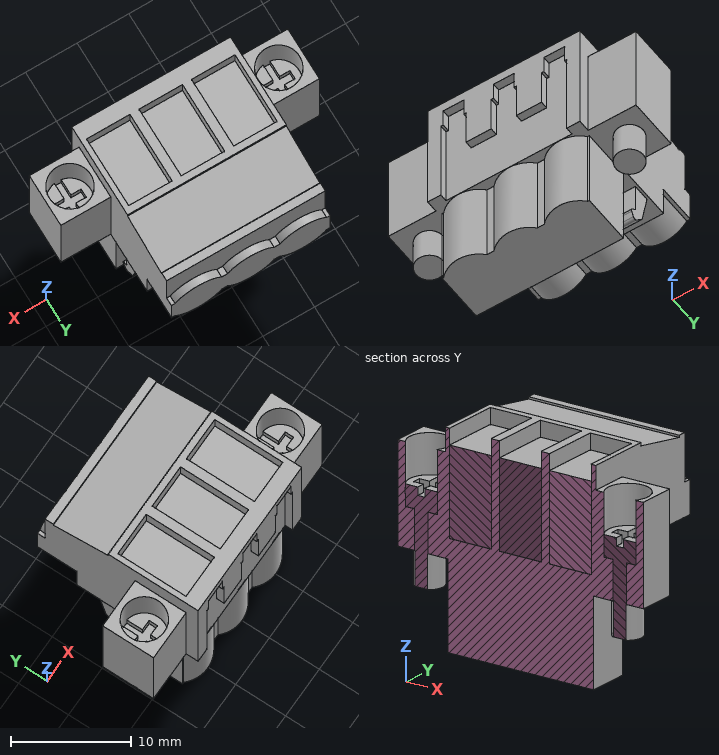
import cadquery as cq


pole_count = 3
pole_pitch = 5.08
pole_positions = [(i - (pole_count - 1) / 2) * pole_pitch for i in range(pole_count)]

overall_width = 25.05
housing_width = 15.37
housing_bottom = 8.35
housing_top = 20.05
lower_back_y = 12.17
upper_back_y = 15.32
top_step_y = 9.01
slope_top_z = 19.75
slope_bottom_z = 18.78
lip_front_y = 14.5
lip_top_z = 18.98

inlet_back_y = 16.1
inlet_z = 13.0
inlet_radius = 2.75
band_half_height = 1.58

mount_y = 3.75
plug_width = 14.87
plug_shoulder_y = 1.73
plug_back_y = 6.7
contact_radius = 2.98

hook_front_y = 8.45
hook_back_y = 10.15
hook_front_bend_z = 5.38
hook_back_bend_y = 9.42
hook_back_bend_z = 5.05
hook_nose_y = 7.79
hook_nose_z = 4.8
hook_tip_y = 8.35
hook_tip_z = 3.9
hook_rounding = 0.25

recess_depth = 0.75
recess_tooth_bottom = 13.42
window_width = pole_pitch / 2
window_shoulder_z = 17.2
window_neck_width = 2.08
window_top = 19.0

well_width = 4.2
well_front_y = 1.55
well_back_y = 8.36
well_depth = 1.5
clamp_top = housing_top - well_depth
clamp_bottom = inlet_z - inlet_radius

flange_width = (overall_width - housing_width) / 2
flange_length = 5.1
flange_top = 17.85
flange_x = (housing_width + flange_width) / 2

screw_head_diameter = 4.0
screw_head_height = 2.0
screw_head_sink = 3.75
screw_head_top = flange_top - screw_head_sink
head_seat = screw_head_top - screw_head_height
screw_shank_diameter = 2.73
screw_bottom = 5.15
long_slot_width = 0.65
short_slot_width = 0.83
short_slot_length = 2.65
slot_depth = 0.75


def box_between(x_center, width, y_front, y_back, z_bottom, z_top):
    """Box centred on x_center, given by its limits in Y and Z."""
    return (
        cq.Workplane("XY", origin=(x_center, (y_front + y_back) / 2, z_bottom))
        .rect(width, y_back - y_front)
        .extrude(z_top - z_bottom)
    )


def extrude_across(profile, width):
    """Closed (y, z) outline extruded symmetrically along X."""
    return cq.Workplane("YZ").polyline(profile).close().extrude(width / 2, both=True)


def upright_cylinder(x, diameter, z_bottom, z_top):
    """Vertical cylinder on a screw axis."""
    return (
        cq.Workplane("XY", origin=(x, mount_y, z_bottom))
        .circle(diameter / 2)
        .extrude(z_top - z_bottom)
    )


def make_main_block():
    profile = [
        (0, housing_bottom),
        (lower_back_y, housing_bottom),
        (lower_back_y, inlet_z - band_half_height),
        (inlet_back_y, inlet_z - band_half_height),
        (inlet_back_y, inlet_z + band_half_height),
        (upper_back_y, inlet_z + band_half_height),
        (upper_back_y, lip_top_z),
        (lip_front_y, lip_top_z),
        (lip_front_y, slope_bottom_z),
        (top_step_y, slope_top_z),
        (top_step_y, housing_top),
        (0, housing_top),
    ]
    return extrude_across(profile, housing_width)


def make_inlet_sleeves():
    """Round sleeves, trimmed flush with the sides of the housing."""
    trim_box = box_between(
        0, housing_width, lower_back_y, inlet_back_y, inlet_z - inlet_radius, inlet_z + inlet_radius
    )
    sleeves = cq.Workplane("XY")
    for x in pole_positions:
        sleeve = (
            cq.Workplane("XZ", origin=(x, inlet_back_y, inlet_z))
            .circle(inlet_radius)
            .extrude(inlet_back_y - lower_back_y)
        )
        sleeves = sleeves.union(sleeve)
    return sleeves.intersect(trim_box)


def make_plug():
    """Slab with round fronts, trimmed flush with its sides."""
    front_y = mount_y - contact_radius
    trim_box = box_between(0, plug_width, front_y, plug_back_y, 0, housing_bottom)
    plug = box_between(0, plug_width, plug_shoulder_y, plug_back_y, 0, housing_bottom)
    for x in pole_positions:
        plug = plug.union(upright_cylinder(x, 2 * contact_radius, 0, housing_bottom))
    return plug.intersect(trim_box)


def make_hook():
    profile = [
        (hook_front_y, housing_bottom),
        (hook_back_y, housing_bottom),
        (hook_back_bend_y, hook_back_bend_z),
        (hook_tip_y, hook_tip_z),
        (hook_nose_y, hook_nose_z),
        (hook_front_y, hook_front_bend_z),
    ]
    hook = extrude_across(profile, plug_width)
    tip_and_nose = cq.selectors.BoxSelector(
        (-plug_width, hook_nose_y - hook_rounding, hook_tip_z - hook_rounding),
        (plug_width, hook_tip_y + hook_rounding, hook_nose_z + hook_rounding),
    )
    return hook.edges("|X").edges(tip_and_nose).fillet(hook_rounding)


def make_front_recess():
    recess_width = (pole_count - 1) * pole_pitch + window_width
    recess = box_between(0, recess_width, 0, recess_depth, housing_bottom, recess_tooth_bottom)
    for x in pole_positions:
        recess = recess.union(
            box_between(x, window_width, 0, recess_depth, recess_tooth_bottom, window_shoulder_z)
        )
        recess = recess.union(
            box_between(x, window_neck_width, 0, recess_depth, window_shoulder_z, window_top)
        )
    return recess


def make_well_block(x, z_top):
    """Block with the section of a clamp well, from the well floor up to z_top."""
    return box_between(x, well_width, well_front_y, well_back_y, clamp_bottom, z_top)


def make_flange(x):
    y_front = mount_y - flange_length / 2
    return box_between(
        x, flange_width, y_front, y_front + flange_length, housing_bottom, flange_top
    )


def make_screw_hole(x):
    bore = upright_cylinder(x, screw_shank_diameter, housing_bottom, flange_top)
    return bore.union(upright_cylinder(x, screw_head_diameter, head_seat, flange_top))


def make_housing():
    housing = make_main_block()
    housing = housing.union(make_inlet_sleeves()).union(make_plug()).union(make_hook())
    housing = housing.cut(make_front_recess())
    for x in pole_positions:
        housing = housing.cut(make_well_block(x, housing_top))
    for x in (-flange_x, flange_x):
        housing = housing.union(make_flange(x)).cut(make_screw_hole(x))
    return housing


def make_clamp(x):
    return make_well_block(x, clamp_top)


def make_screw(x):
    slot_floor = screw_head_top - slot_depth
    screw = upright_cylinder(x, screw_shank_diameter, screw_bottom, head_seat).union(
        upright_cylinder(x, screw_head_diameter, head_seat, screw_head_top)
    )
    cross = cq.Workplane("XY", origin=(x, mount_y, slot_floor))
    long_slot = cross.rect(long_slot_width, screw_head_diameter).extrude(slot_depth)
    short_slot = cross.rect(short_slot_length, short_slot_width).extrude(slot_depth)
    return screw.cut(long_slot).cut(short_slot)


housing = make_housing()
clamps = [make_clamp(x).val() for x in pole_positions]
screws = [make_screw(x).val() for x in (-flange_x, flange_x)]

result = cq.Compound.makeCompound([housing.val(), *clamps, *screws])